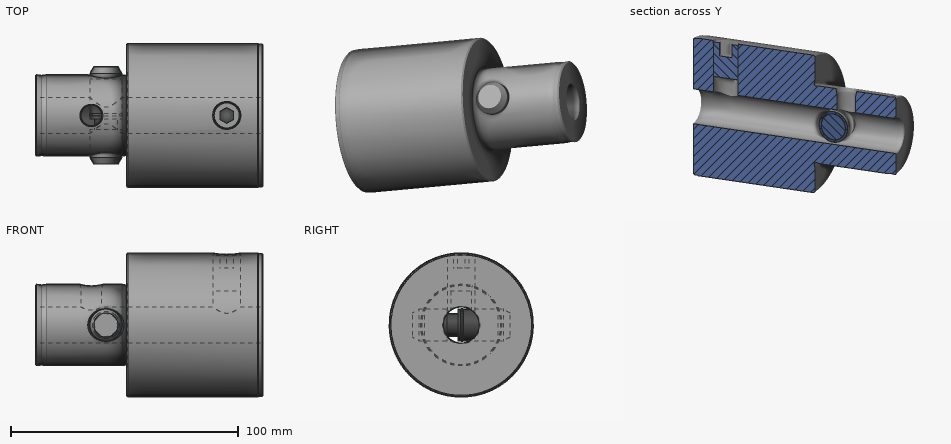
import cadquery as cq
import math

TOTAL_LENGTH = 100.0
HEAD_START = 40.0
HEAD_DIAMETER = 63.3
HEAD_RADIUS = HEAD_DIAMETER / 2
SHANK_RADIUS = 17.9
BORE_RADIUS = 7.9
BORE_CHAMFER = 0.3
EDGE_CHAMFER = 0.6

GROOVE_BOTTOM = 2.7
GROOVE_END = 4.9
GROOVE_DEPTH = 0.3

RELIEF_START = 38.1
RELIEF_DEPTH = 0.3
RELIEF_FILLET = 0.7
RELIEF_OUTER_RADIUS = 19.7

COLLAR_START = 97.6
COLLAR_STEP = 0.2
COLLAR_STEP_LENGTH = 0.3

SIDE_HOLE_X = 24.6
SIDE_HOLE_RADIUS = 4.5
SIDE_HOLE_FLARE = 0.55
SIDE_HOLE_FLARE_DEPTH = 2.3

PIN_X = 31.0
PIN_RADIUS = 7.0
PIN_HALF_LENGTH = 21.4
PIN_TIP_RADIUS = 5.3
PIN_CONE_LENGTH = 2.9
NECK_RADIUS = 5.0
NECK_NEAR_Y = -1.5
NECK_FAR_Y = -6.2
RING_Y = 0.3
RING_SECTION_RADIUS = 0.6
RING_PROTRUSION = 0.2
RING_CENTRE_RADIUS = PIN_RADIUS + RING_PROTRUSION - RING_SECTION_RADIUS

PIN_SINK_WIDTH = 1.0
PIN_SINK_DEPTH = 1.8

SCREW_X = 84.0
SCREW_RADIUS = 6.0
SCREW_HOLE_FLARE = 0.2
SCREW_HOLE_FLARE_DEPTH = 1.5
SCREW_TOP = 31.0
SCREW_LENGTH = 16.0
SCREW_CHAMFER = 0.5
HEX_ACROSS_FLATS = 6.0
HEX_DEPTH = 6.0


def revolve_about_pin_axis(points):
    """Solid of revolution from an outline of (radius, y) points measured from the pin axis."""
    profile = cq.Workplane("XY", origin=(PIN_X, 0, 0)).polyline(points).close()
    return profile.revolve(360, (0, 0), (0, 1))


def revolve_about_radial_axis(x, points):
    """Solid of revolution about the vertical line at x, from (radius, z) points."""
    profile = cq.Workplane("XZ", origin=(x, 0, 0)).polyline(points).close()
    return profile.revolve(360, (0, 0), (0, 1))


def ring_torus():
    """Torus around the pin, both the O-ring itself and the groove it sits in."""
    section = cq.Workplane("XY", origin=(PIN_X, 0, 0)).center(RING_CENTRE_RADIUS, RING_Y)
    return section.circle(RING_SECTION_RADIUS).revolve(
        360, (-RING_CENTRE_RADIUS, 0), (-RING_CENTRE_RADIUS, 1)
    )


def housing_blank():
    collar_radius = HEAD_RADIUS - COLLAR_STEP
    relief_bottom = SHANK_RADIUS - RELIEF_DEPTH
    fillet_x = HEAD_START + RELIEF_DEPTH - RELIEF_FILLET
    fillet_radius = relief_bottom + RELIEF_FILLET
    fillet_reach = RELIEF_FILLET * math.sqrt(0.5)
    profile = (
        cq.Workplane("XZ")
        .moveTo(0, BORE_RADIUS + BORE_CHAMFER)
        .lineTo(0, SHANK_RADIUS - EDGE_CHAMFER)
        .lineTo(EDGE_CHAMFER, SHANK_RADIUS)
        .lineTo(GROOVE_BOTTOM, SHANK_RADIUS - GROOVE_DEPTH)
        .lineTo(GROOVE_END, SHANK_RADIUS)
        .lineTo(RELIEF_START, SHANK_RADIUS)
        .lineTo(fillet_x, relief_bottom)
        .threePointArc(
            (fillet_x + fillet_reach, fillet_radius - fillet_reach),
            (fillet_x + RELIEF_FILLET, fillet_radius),
        )
        .lineTo(HEAD_START, RELIEF_OUTER_RADIUS)
        .lineTo(HEAD_START, HEAD_RADIUS - EDGE_CHAMFER)
        .lineTo(HEAD_START + EDGE_CHAMFER, HEAD_RADIUS)
        .lineTo(COLLAR_START, HEAD_RADIUS)
        .lineTo(COLLAR_START + COLLAR_STEP_LENGTH, collar_radius)
        .lineTo(TOTAL_LENGTH - EDGE_CHAMFER, collar_radius)
        .lineTo(TOTAL_LENGTH, collar_radius - EDGE_CHAMFER)
        .lineTo(TOTAL_LENGTH, BORE_RADIUS)
        .lineTo(BORE_CHAMFER, BORE_RADIUS)
        .close()
    )
    return profile.revolve(360, (0, 0), (1, 0))


def pin_hole():
    """Cross hole of the pin's own diameter, countersunk at both ends."""
    sink_start = SHANK_RADIUS - PIN_SINK_DEPTH
    sink_radius = PIN_RADIUS + PIN_SINK_WIDTH
    return revolve_about_pin_axis([
        (0, -SHANK_RADIUS),
        (sink_radius, -SHANK_RADIUS),
        (PIN_RADIUS, -sink_start),
        (PIN_RADIUS, sink_start),
        (sink_radius, SHANK_RADIUS),
        (0, SHANK_RADIUS),
    ])


def flared_hole(x, radius, surface_radius, flare, flare_depth):
    """Radial hole from the bore up to the outer surface, widening conically near the top."""
    return revolve_about_radial_axis(x, [
        (0, 0),
        (radius, 0),
        (radius, surface_radius - flare_depth),
        (radius + flare, surface_radius),
        (0, surface_radius),
    ])


def make_housing():
    side_hole = flared_hole(
        SIDE_HOLE_X, SIDE_HOLE_RADIUS, SHANK_RADIUS, SIDE_HOLE_FLARE, SIDE_HOLE_FLARE_DEPTH
    )
    screw_hole = flared_hole(
        SCREW_X, SCREW_RADIUS, HEAD_RADIUS, SCREW_HOLE_FLARE, SCREW_HOLE_FLARE_DEPTH
    )
    return housing_blank().cut(pin_hole()).cut(side_hole).cut(screw_hole)


def make_pin():
    cone_base = PIN_HALF_LENGTH - PIN_CONE_LENGTH
    pin = revolve_about_pin_axis([
        (0, -PIN_HALF_LENGTH),
        (PIN_TIP_RADIUS, -PIN_HALF_LENGTH),
        (PIN_RADIUS, -cone_base),
        (PIN_RADIUS, NECK_FAR_Y),
        (NECK_RADIUS, NECK_FAR_Y),
        (NECK_RADIUS, NECK_NEAR_Y),
        (PIN_RADIUS, NECK_NEAR_Y),
        (PIN_RADIUS, cone_base),
        (PIN_TIP_RADIUS, PIN_HALF_LENGTH),
        (0, PIN_HALF_LENGTH),
    ])
    return pin.cut(ring_torus())


def make_set_screw():
    bottom = SCREW_TOP - SCREW_LENGTH
    screw = revolve_about_radial_axis(SCREW_X, [
        (0, bottom),
        (SCREW_RADIUS, bottom),
        (SCREW_RADIUS, SCREW_TOP - SCREW_CHAMFER),
        (SCREW_RADIUS - SCREW_CHAMFER, SCREW_TOP),
        (0, SCREW_TOP),
    ])
    socket = (
        cq.Workplane("XY", origin=(SCREW_X, 0, SCREW_TOP))
        .polygon(6, HEX_ACROSS_FLATS, circumscribed=True)
        .extrude(-HEX_DEPTH)
    )
    return screw.cut(socket)


housing = make_housing()
pin = make_pin()
ring = ring_torus()
set_screw = make_set_screw()

result = cq.Compound.makeCompound([housing.val(), pin.val(), ring.val(), set_screw.val()])